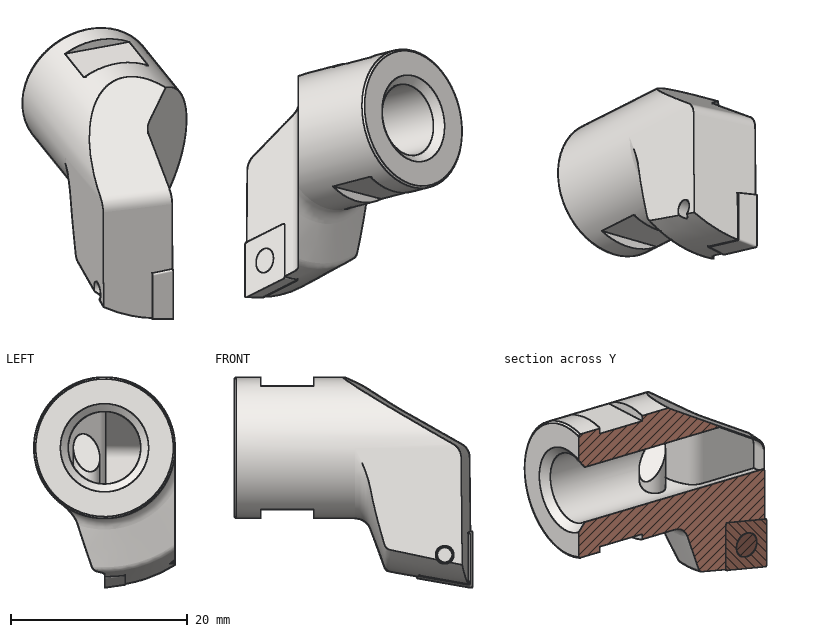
import cadquery as cq
import math

shank_diameter = 16.0
shank_radius = shank_diameter / 2
end_chamfer = 0.22
flat_start = 3.02
flat_end = 9.0
flat_height = 7.0

bore_diameter = 8.2
bore_mouth_diameter = 10.0
mouth_chamfer = (bore_mouth_diameter - bore_diameter) / 2
wall = 0.15
post_diameter = 3.0
post_x = 13.77
post_y = 2.02
post_top_z = -0.57
post_slope_angle = 55.0
post_turn_angle = 16.0

clearance_angle = 7.0
head_end_x = 26.65
end_lean_angle = 0.6
corner_z = -0.08
top_slope_angle = 29.5
top_corner_radius = 1.75
back_corner_x = 18.45
back_corner_radius = 2.02
neck_start_x = 13.65
neck_line_start = (15.42, 9.25)
neck_line_end = (17.15, 13.95)
neck_corner_radius = 0.8
edge_angle = 10.0

insert_corner_x = 27.0
insert_corner_z = -15.9
insert_side = 6.45
insert_thickness = 2.38
insert_nose_radius = 0.22
insert_hole_diameter = 2.8

screw_diameter = 2.05
screw_tip_chamfer = 0.2
screw_tip_y = -4.85

far = 54.0


def tangent(angle):
    return math.tan(math.radians(angle))


def side_prism(inset):
    """Region below the top slope and left of the end face, skewed by the clearance angle."""
    end_x = head_end_x - inset
    slope = tangent(top_slope_angle)
    peak_z = corner_z + inset * slope - inset / math.cos(math.radians(top_slope_angle))
    outline = (
        cq.Workplane("XZ", origin=(0, shank_diameter, 0))
        .moveTo(-far, peak_z + (end_x + far) * slope)
        .lineTo(end_x, peak_z)
        .lineTo(end_x + far * tangent(end_lean_angle), peak_z - far)
        .lineTo(-far, peak_z - far)
        .close()
        .wire()
        .val()
    )
    shift = shank_diameter * tangent(clearance_angle)
    outline = outline.translate(cq.Vector(shift, 0, 0))
    prism = cq.Solid.extrudeLinear(outline, [], cq.Vector(-2 * shift, -2 * shank_diameter, 0))
    corner = cq.selectors.NearestToPointSelector((end_x, 0, peak_z))
    return cq.Workplane(prism).edges(corner).fillet(top_corner_radius - inset)


def plan_prism(inset):
    """Region in front of the rake plane y = 0 and of the 45 degree back face."""
    corner_x = back_corner_x - inset * tangent(45 / 2)
    prism = (
        cq.Workplane("XY", origin=(0, 0, -far / 2))
        .moveTo(far, -inset)
        .lineTo(corner_x, -inset)
        .lineTo(corner_x - far, far - inset)
        .lineTo(corner_x - far, -far)
        .lineTo(far, -far)
        .close()
        .extrude(far)
    )
    corner = cq.selectors.NearestToPointSelector((corner_x, -inset, 0))
    return prism.edges(corner).fillet(back_corner_radius + inset)


def make_head_blank():
    """Lower half of the head: turned about the shank axis, with a flat front."""
    head_length = insert_corner_x + shank_radius - neck_line_end[0]
    end_radius = neck_line_end[1] + head_length * tangent(edge_angle)
    turned = (
        cq.Workplane("XY")
        .moveTo(flat_end, 0)
        .lineTo(flat_end, shank_radius)
        .lineTo(neck_start_x, shank_radius)
        .tangentArcPoint(neck_line_start, relative=False)
        .lineTo(*neck_line_end)
        .lineTo(neck_line_end[0] + head_length, end_radius)
        .lineTo(neck_line_end[0] + head_length, 0)
        .close()
        .revolve(360, (0, 0, 0), (1, 0, 0))
    )
    corner = cq.selectors.RadiusNthSelector(-2)
    turned = turned.edges("%CIRCLE").edges(corner).fillet(neck_corner_radius)
    lower_half = cq.Workplane("XY").box(far, far, far, centered=(False, False, False))
    lower_half = lower_half.translate((0, -shank_radius, -far))
    return turned.intersect(lower_half)


def make_bore():
    """Bore that ends parallel to the outer faces, around a post with a sloping top."""
    bore = cq.Workplane("YZ").circle(bore_diameter / 2).extrude(far)
    bore = bore.intersect(side_prism(wall)).intersect(plan_prism(wall))
    mouth = cq.Workplane(
        cq.Solid.makeCone(
            bore_mouth_diameter / 2, bore_diameter / 2, mouth_chamfer,
            cq.Vector(0, 0, 0), cq.Vector(1, 0, 0),
        )
    )
    post = (
        cq.Workplane("XY", origin=(post_x, post_y, -shank_radius))
        .circle(post_diameter / 2)
        .extrude(shank_diameter)
    )
    below_slope = (
        cq.Workplane("XY")
        .box(far, far, far, centered=(True, True, False))
        .translate((0, 0, -far))
        .rotate((0, 0, 0), (0, 1, 0), -post_slope_angle)
        .rotate((0, 0, 0), (0, 0, 1), post_turn_angle)
        .translate((post_x, post_y, post_top_z))
    )
    return bore.cut(post.intersect(below_slope)).union(mouth)


def cut_spanner_flats(body):
    for side in (1, -1):
        block = cq.Workplane("XY").box(flat_end - flat_start, shank_diameter, shank_radius)
        block = block.translate(
            ((flat_start + flat_end) / 2, 0, side * (flat_height + shank_radius / 2))
        )
        body = body.cut(block)
    return body


def insert_center():
    """Middle of the rhombus, where the screw goes."""
    angle = math.radians(edge_angle)
    x = insert_corner_x - insert_side * math.cos(angle) / 2
    z = insert_corner_z + insert_side * (1 + math.sin(angle)) / 2
    return x, z


def make_insert_blank():
    """Rhombic plate with rounded corners, narrowing away from y = 0."""
    angle = math.radians(edge_angle)
    run = -insert_side * math.cos(angle)
    rise = insert_side * math.sin(angle)
    plate = (
        cq.Workplane("XZ")
        .moveTo(insert_corner_x, insert_corner_z)
        .line(0, insert_side)
        .line(run, rise)
        .line(0, -insert_side)
        .close()
        .extrude(insert_thickness, taper=clearance_angle)
    )
    return plate.edges("not #Y").fillet(insert_nose_radius)


def screw_cylinder(diameter, start_y, end_y):
    x, z = insert_center()
    return (
        cq.Workplane("XZ", origin=(x, start_y, z))
        .circle(diameter / 2)
        .extrude(start_y - end_y)
    )


def make_holder(insert_blank):
    shank = cq.Workplane("YZ").circle(shank_radius).extrude(far)
    shank = shank.faces("<X").chamfer(end_chamfer)
    body = shank.union(make_head_blank())
    body = body.intersect(side_prism(0)).intersect(plan_prism(0))
    body = cut_spanner_flats(body)
    body = body.cut(make_bore()).cut(insert_blank)
    return body.cut(screw_cylinder(screw_diameter, 0, -shank_diameter))


def make_screw():
    shank = screw_cylinder(screw_diameter, -insert_thickness, screw_tip_y)
    shank = shank.faces("<Y").chamfer(screw_tip_chamfer)
    return shank.union(screw_cylinder(insert_hole_diameter, 0, -insert_thickness))


insert_blank = make_insert_blank()
holder = make_holder(insert_blank)
cutting_insert = insert_blank.cut(screw_cylinder(insert_hole_diameter, 0, -insert_thickness))
screw = make_screw()

bodies = [body.solids().val() for body in (holder, cutting_insert, screw)]
result = cq.Compound.makeCompound(bodies)